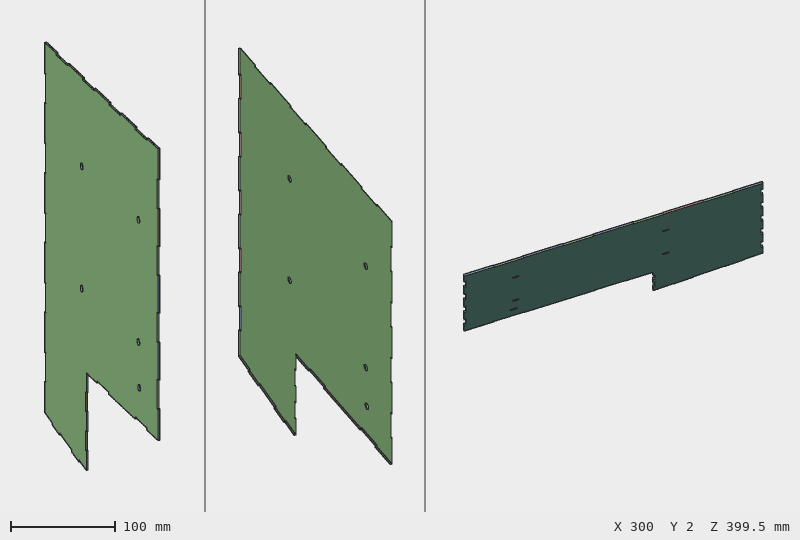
import cadquery as cq
import math

width = 300.0
height = 399.5
thickness = 2.0
leg_width = 110.2
leg_drop = 100.0
outer_edge_height = 380.2

notch_depth = thickness
long_notch = 30.0
short_notch = 20.0
top_margin = 30.0
side_margin = 32.0
inner_edge_margin = 28.5

hole_diameter = 6.5
hole_columns = (-52.5, 98.3)
hole_rows = (108.0, -17.5)
extra_hole = (100.2, -64.0)

left, right = -width / 2, width / 2
bottom, top = -height / 2, height / 2
leg_right = left + leg_width
panel_bottom = bottom + leg_drop


def notched_edge(start, end, count, notch_length, start_margin, end_margin, depth=notch_depth):
    """Points of a clockwise edge with evenly spaced notches, leaving out its end corner.

    A negative depth makes outward tabs instead of notches.
    """
    length = math.dist(start, end)
    along_x = (end[0] - start[0]) / length
    along_z = (end[1] - start[1]) / length
    pitch = (length - start_margin - end_margin - notch_length) / (count - 1)

    def edge_point(distance, inset):
        x = start[0] + along_x * distance + along_z * inset
        z = start[1] + along_z * distance - along_x * inset
        return (x, z)

    points = [start]
    for index in range(count):
        notch_start = start_margin + index * pitch
        notch_end = notch_start + notch_length
        points += [
            edge_point(notch_start, 0),
            edge_point(notch_start, depth),
            edge_point(notch_end, depth),
            edge_point(notch_end, 0),
        ]
    return points


top_left = (left, top)
top_right = (right, top)
panel_corner = (right, panel_bottom)
inner_corner = (leg_right, panel_bottom)
leg_tip = (leg_right, bottom)
leg_outer_corner = (left, top - outer_edge_height)

outline = (
    notched_edge(top_left, top_right, 4, long_notch, top_margin, top_margin)
    + notched_edge(top_right, panel_corner, 4, long_notch, side_margin, side_margin)
    + notched_edge(panel_corner, inner_corner, 2, long_notch, top_margin, inner_edge_margin)
    + notched_edge(inner_corner, leg_tip, 2, short_notch, short_notch, short_notch)
    + notched_edge(leg_tip, leg_outer_corner, 2, short_notch, short_notch, short_notch, depth=-notch_depth)
    + notched_edge(leg_outer_corner, top_left, 5, long_notch, side_margin, side_margin)
)

panel = cq.Workplane("XZ").polyline(outline).close().extrude(thickness / 2, both=True)

hole_centres = [(x, z) for x in hole_columns for z in hole_rows] + [extra_hole]
holes = (
    cq.Workplane("XZ")
    .pushPoints(hole_centres)
    .circle(hole_diameter / 2)
    .extrude(thickness, both=True)
)

result = panel.cut(holes)